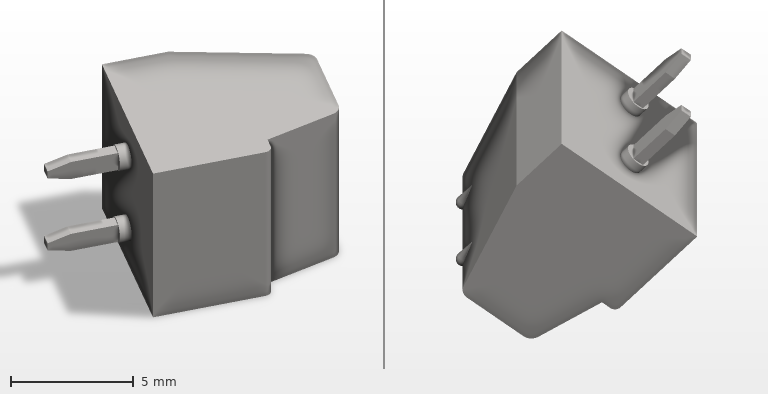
import cadquery as cq
import math


total_length = 12.0
body_width = 7.3
body_height = 7.62
pole_pitch = body_height / 2
pole_heights = [-pole_pitch / 2, pole_pitch / 2]

collar_diameter = 1.1
collar_length = 0.49
pin_length = 3.0
pin_thickness = 0.5
pin_height = 0.9
pin_tip_height = 0.37
pin_taper_length = 1.0
pin_offset = 0.05

body_depth = total_length - pin_length - collar_length
left_side = -body_width / 2
right_side = body_width / 2
left_wall_depth = 2.82
left_slope_angle = math.radians(18)
right_slope_angle = math.radians(15)
step_depth = 5.1
step_width = 0.75
crown_radius = 0.5
step_radius = 0.3

bump_radius = 0.3


def left_slope_x(y):
    """X of the sloped -X side at a given Y."""
    return left_side + (y - left_wall_depth) * math.tan(left_slope_angle)


def make_body():
    step_inner_x = right_side - step_width
    crown_right_x = step_inner_x - (body_depth - step_depth) * math.tan(right_slope_angle)
    outline = [
        (left_side, 0),
        (right_side, 0),
        (right_side, step_depth),
        (step_inner_x, step_depth),
        (crown_right_x, body_depth),
        (left_slope_x(body_depth), body_depth),
        (left_side, left_wall_depth),
    ]
    body = cq.Workplane("XY").polyline(outline).close().extrude(body_height / 2, both=True)
    body = body.edges("|Z and >Y").fillet(crown_radius)
    step_corner = cq.selectors.NearestToPointSelector((right_side, step_depth, 0))
    return body.edges("|Z").edges(step_corner).fillet(step_radius)


def make_pin(z):
    """Round collar and flat blade tapering to a narrow tip, pointing along -Y."""
    collar = (
        cq.Workplane("XZ", origin=(pin_offset, 0, z))
        .circle(collar_diameter / 2)
        .extrude(collar_length)
    )
    root_y = -collar_length
    tip_y = root_y - pin_length
    taper_y = tip_y + pin_taper_length
    blade = (
        cq.Workplane("YZ", origin=(pin_offset, 0, z))
        .polyline([
            (root_y, -pin_height / 2),
            (taper_y, -pin_height / 2),
            (tip_y, -pin_tip_height / 2),
            (tip_y, pin_tip_height / 2),
            (taper_y, pin_height / 2),
            (root_y, pin_height / 2),
        ])
        .close()
        .extrude(pin_thickness / 2, both=True)
    )
    return collar.union(blade)


def make_bump(z):
    """Half-sunk teardrop: a ball with a tangent cone running down the slope to a point.

    The cone's half angle equals the slope angle, so its outermost line runs parallel to Y.
    """
    center_y = body_depth - bump_radius
    across_slope = (math.cos(left_slope_angle), -math.sin(left_slope_angle), 0)
    bump_plane = cq.Plane(
        origin=(left_slope_x(center_y), center_y, z),
        xDir=across_slope,
        normal=(0, 0, 1),
    )
    cone_tip = (0, -bump_radius / math.sin(left_slope_angle))
    tangent_point = (
        bump_radius * math.cos(left_slope_angle),
        -bump_radius * math.sin(left_slope_angle),
    )
    arc_middle = bump_radius * math.cos(math.radians(45))
    return (
        cq.Workplane(bump_plane)
        .moveTo(*cone_tip)
        .lineTo(*tangent_point)
        .threePointArc((arc_middle, arc_middle), (0, bump_radius))
        .close()
        .revolve(360, (0, 0), (0, 1))
    )


result = make_body()
for pole_z in pole_heights:
    result = result.union(make_pin(pole_z)).union(make_bump(pole_z))